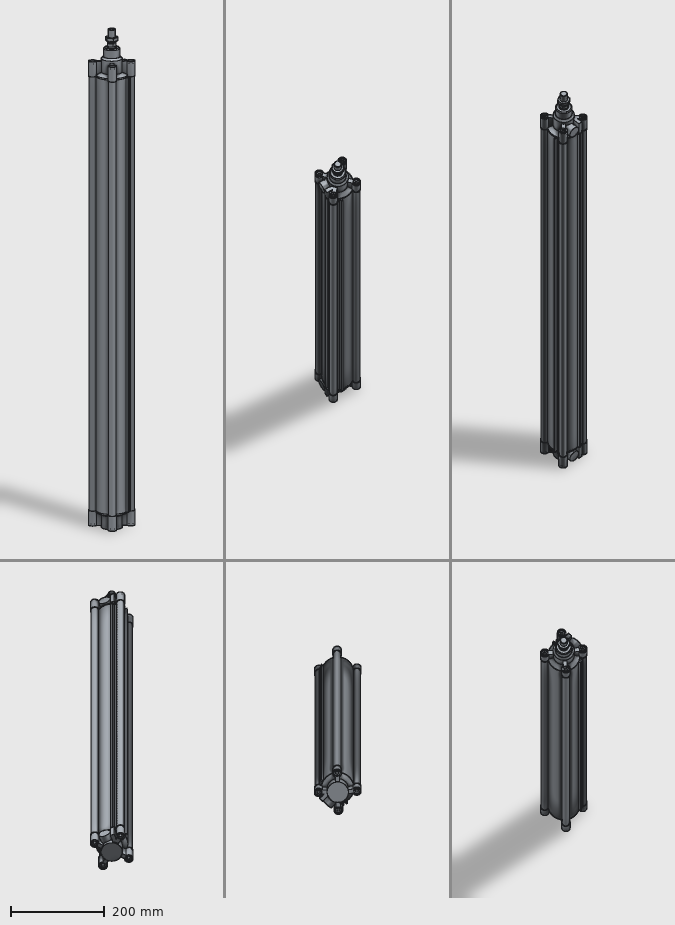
import cadquery as cq
import math


TOTAL_LENGTH = 1109.0
REAR_BOSS_PROJECTION = 4.0
FRONT_BOSS_PROJECTION = 10.0
COVER_HEIGHT = 33.0
FRONT_COVER_TOP = 1038.0
NECK_TOP = 1068.0
BARREL_BOTTOM = REAR_BOSS_PROJECTION + COVER_HEIGHT
BARREL_TOP = FRONT_COVER_TOP - COVER_HEIGHT

COVER_WIDTH = 77.0
POST_DIAMETER = 19.0
BOSS_DIAMETER = 45.0
BOSS_CHAMFER = 4.0
NECK_DIAMETER = 35.0
NECK_CHAMFER = 2.0
PLATE_HEIGHT = 3.0
CONE_HEIGHT = 5.0
WEB_WIDTH = 9.0
SCREW_HOLE_DIAMETER = 6.8
SCREW_RECESS_DIAMETER = 13.0
SCREW_RECESS_DEPTH = 4.0
HALF_WIDTH = COVER_WIDTH / 2
POST_OFFSET = HALF_WIDTH - POST_DIAMETER / 2
POST_CENTRES = [(x, y) for x in (-POST_OFFSET, POST_OFFSET) for y in (-POST_OFFSET, POST_OFFSET)]

PORT_FACE_Y = 38.0
PORT_ROOT_Y = 11.0
PORT_BOSS_DIAMETER = 25.0
PORT_BOSS_X = 4.0
PORT_BLOCK_LEFT = -18.0
PORT_BLOCK_RIGHT = -9.0

BODY_DIAMETER = 69.0
BORE_DIAMETER = 63.0
BARREL_POST_WIDTH = 15.0
BARREL_POST_FILLET = 7.0
RAIL_ROOT = 25.0
RAIL_LIP_THICKNESS = 3.0
OUTER_LIP_START = 10.0
OUTER_LIP_REACH = HALF_WIDTH
INNER_LIP_START = 18.0
INNER_LIP_REACH = 35.0

ROD_DIAMETER = 20.0
ROD_SHOULDER = 1072.0
ROD_TIP_DIAMETER = 19.0
ROD_TIP_TOP = 1080.0
ROD_TIP_CHAMFER = 2.0
WRENCH_FLAT_WIDTH = 17.0
THREAD_DIAMETER = 15.0
THREAD_CHAMFER = 1.0
NUT_SIDES = 6
NUT_WIDTH = 24.0
NUT_HEIGHT = 8.0
NUT_BOTTOM = 1084.0
NUT_CHAMFER_ANGLE = 30.0

AXIS_START = (0, 0)
AXIS_END = (0, 1)


def bar(diameter, bottom, top):
    """Round bar on the Z axis between two heights."""
    return cq.Workplane("XY", origin=(0, 0, bottom)).circle(diameter / 2).extrude(top - bottom)


def bars_on_posts(diameter, bottom, top):
    """Round bars on the four post centres between two heights."""
    plane = cq.Workplane("XY", origin=(0, 0, bottom))
    return plane.pushPoints(POST_CENTRES).circle(diameter / 2).extrude(top - bottom)


def block(x_limits, y_limits, z_limits):
    """Box given by its two limits along each axis."""
    limits = (x_limits, y_limits, z_limits)
    sizes = [high - low for low, high in limits]
    corner = tuple(low for low, high in limits)
    return cq.Workplane("XY").box(*sizes, centered=False).translate(corner)


def turn(solid, angle):
    """Turn a solid about the Z axis."""
    return solid.rotate((0, 0, 0), (0, 0, 1), angle)



def make_barrel_posts():
    """Rounded square posts along the barrel's four corners."""
    plane = cq.Workplane("XY", origin=(0, 0, BARREL_BOTTOM)).pushPoints(POST_CENTRES)
    posts = plane.rect(BARREL_POST_WIDTH, BARREL_POST_WIDTH).extrude(BARREL_TOP - BARREL_BOTTOM)
    return posts.edges("|Z").fillet(BARREL_POST_FILLET)


def make_sensor_rail():
    """Two lips along the +X side that hold a sensor between them."""
    height = (BARREL_BOTTOM, BARREL_TOP)
    outer_lip = block(
        (RAIL_ROOT, OUTER_LIP_REACH),
        (OUTER_LIP_START, OUTER_LIP_START + RAIL_LIP_THICKNESS),
        height,
    )
    inner_lip = block(
        (RAIL_ROOT, INNER_LIP_REACH),
        (INNER_LIP_START, INNER_LIP_START + RAIL_LIP_THICKNESS),
        height,
    )
    return outer_lip.union(inner_lip)


def make_barrel():
    """Tube with corner posts and sensor rails on its +X, -X and +Y sides."""
    rail = make_sensor_rail()
    tube = bar(BODY_DIAMETER, BARREL_BOTTOM, BARREL_TOP).union(make_barrel_posts())
    tube = tube.union(rail).union(rail.mirror("YZ")).union(turn(rail, 90))
    return tube.cut(bar(BORE_DIAMETER, BARREL_BOTTOM, BARREL_TOP))



def make_hub(boss_projection):
    """Round plate, sloping shoulder and centring boss in one turned profile."""
    body_radius = BODY_DIAMETER / 2
    boss_radius = BOSS_DIAMETER / 2
    boss_top = COVER_HEIGHT + boss_projection
    profile = cq.Workplane("XZ").polyline([
        (0, 0),
        (body_radius, 0),
        (body_radius, PLATE_HEIGHT),
        (boss_radius, PLATE_HEIGHT + CONE_HEIGHT),
        (boss_radius, boss_top),
        (0, boss_top),
    ])
    return profile.close().revolve(360, AXIS_START, AXIS_END)


def make_webs():
    """Diagonal webs that join the boss to the corner posts."""
    diagonal = 2 * math.hypot(POST_OFFSET, POST_OFFSET)
    web = cq.Workplane("XY").rect(diagonal, WEB_WIDTH).extrude(COVER_HEIGHT)
    return turn(web, 45).union(turn(web, -45))


def make_port_side():
    """Horizontal port boss with a flat block beside it."""
    height = (0, COVER_HEIGHT)
    flat_block = block((PORT_BLOCK_LEFT, PORT_BLOCK_RIGHT), (PORT_ROOT_Y, PORT_FACE_Y), height)
    plane = cq.Workplane("XZ", origin=(PORT_BOSS_X, PORT_FACE_Y, COVER_HEIGHT / 2))
    boss = plane.circle(PORT_BOSS_DIAMETER / 2).extrude(PORT_FACE_Y - PORT_ROOT_Y)
    return flat_block.union(boss)


def make_screw_holes():
    """Recessed screw holes in the outer ends of the posts."""
    holes = bars_on_posts(SCREW_HOLE_DIAMETER, PLATE_HEIGHT, COVER_HEIGHT)
    recess_floor = COVER_HEIGHT - SCREW_RECESS_DEPTH
    return holes.union(bars_on_posts(SCREW_RECESS_DIAMETER, recess_floor, COVER_HEIGHT))


def add_cover_details(hub):
    """Complete a hub with posts, webs, port side and screw holes."""
    posts = bars_on_posts(POST_DIAMETER, 0, COVER_HEIGHT)
    cover = hub.union(posts).union(make_webs()).union(make_port_side())
    return cover.cut(make_screw_holes())


def make_front_cover():
    """Cover with a chamfered boss and a neck that guides the rod."""
    hub = make_hub(FRONT_BOSS_PROJECTION).faces(">Z").edges().chamfer(BOSS_CHAMFER)
    cover = add_cover_details(hub).translate((0, 0, BARREL_TOP))
    neck = bar(NECK_DIAMETER, BARREL_TOP, NECK_TOP).faces(">Z").edges().chamfer(NECK_CHAMFER)
    return cover.union(neck).cut(bar(ROD_DIAMETER, BARREL_TOP, NECK_TOP))


def make_rear_cover():
    """Closed cover, turned upside down below the barrel."""
    cover = add_cover_details(make_hub(REAR_BOSS_PROJECTION))
    return cover.mirror("XY").translate((0, 0, BARREL_BOTTOM))



def make_rod_tip():
    """Short tip of the rod with a wrench flat on its +X and -X sides."""
    tip = bar(ROD_TIP_DIAMETER, ROD_SHOULDER, ROD_TIP_TOP).faces(">Z").edges().chamfer(ROD_TIP_CHAMFER)
    half_flat = WRENCH_FLAT_WIDTH / 2
    between_flats = block(
        (-half_flat, half_flat),
        (-ROD_DIAMETER, ROD_DIAMETER),
        (ROD_SHOULDER, ROD_TIP_TOP),
    )
    return tip.intersect(between_flats)


def make_rod():
    """Piston rod from the rear cover through the front cover, ending in a thread."""
    shaft = bar(ROD_DIAMETER, BARREL_BOTTOM, ROD_SHOULDER)
    thread = bar(THREAD_DIAMETER, ROD_SHOULDER, TOTAL_LENGTH).faces(">Z").edges().chamfer(THREAD_CHAMFER)
    return shaft.union(make_rod_tip()).union(thread)


def make_nut():
    """Hexagon nut with flats facing +X and -X and both ends chamfered to a cone."""
    corner_diameter = NUT_WIDTH / math.cos(math.pi / NUT_SIDES)
    plane = cq.Workplane("XY", origin=(0, 0, NUT_BOTTOM))
    hexagon = turn(plane.polygon(NUT_SIDES, corner_diameter).extrude(NUT_HEIGHT), 180 / NUT_SIDES)
    end_radius = NUT_WIDTH / 2
    middle_radius = end_radius + NUT_HEIGHT / 2 / math.tan(math.radians(NUT_CHAMFER_ANGLE))
    double_cone = (
        cq.Workplane("XZ", origin=(0, 0, NUT_BOTTOM))
        .polyline([
            (0, 0),
            (end_radius, 0),
            (middle_radius, NUT_HEIGHT / 2),
            (end_radius, NUT_HEIGHT),
            (0, NUT_HEIGHT),
        ])
        .close()
        .revolve(360, AXIS_START, AXIS_END)
    )
    thread_hole = bar(THREAD_DIAMETER, NUT_BOTTOM, NUT_BOTTOM + NUT_HEIGHT)
    return hexagon.intersect(double_cone).cut(thread_hole)


barrel = make_barrel()
front_cover = make_front_cover()
rear_cover = make_rear_cover()
rod = make_rod()
nut = make_nut()

result = cq.Compound.makeCompound([
    barrel.solids().val(),
    front_cover.solids().val(),
    rear_cover.solids().val(),
    rod.solids().val(),
    nut.solids().val(),
])